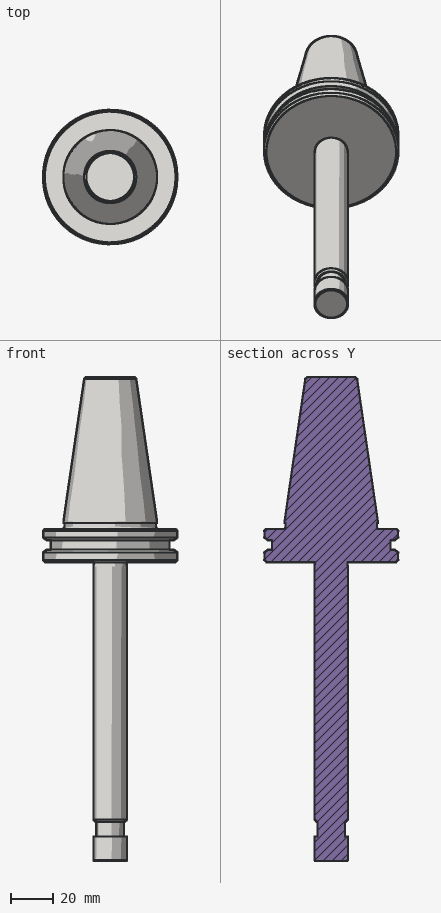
import cadquery as cq

total_height = 228.5
taper_length = 68.3
taper_ratio = 7 / 24
gauge_radius = 22.2
taper_top_chamfer = 1.0
gauge_z = total_height - taper_length
taper_top_radius = gauge_radius - taper_length * taper_ratio / 2

neck_radius = 21.7
gauge_land = 0.7
neck_fillet = 1.0

flange_radius = 31.7
flange_top_z = 156.7
flange_bottom_z = 141.0
flange_top_chamfer = 1.0
flange_bottom_chamfer = 1.1
groove_center_z = 149.1
groove_floor_radius = 28.0
groove_width = 4.3
groove_chamfer_width = 1.8
groove_chamfer_height = 1.4

arbor_radius = 8.0
arbor_root_relief = 0.2
arbor_root_z = 138.9
arbor_end_z = 18.5
arbor_end_chamfer = 1.1
relief_radius = 6.6
collar_height = 11.6
collar_chamfer = 0.5


def add_arbor(outline):
    """Trace the arbor from the bottom axis point up to the flange."""
    root_radius = arbor_radius - arbor_root_relief
    return (
        outline.lineTo(arbor_radius - collar_chamfer, 0)
        .lineTo(arbor_radius, collar_chamfer)
        .lineTo(arbor_radius, collar_height)
        .lineTo(relief_radius, collar_height)
        .lineTo(relief_radius, arbor_end_z)
        .lineTo(arbor_radius - arbor_end_chamfer, arbor_end_z)
        .lineTo(arbor_radius, arbor_end_z + arbor_end_chamfer)
        .lineTo(arbor_radius, arbor_root_z)
        .lineTo(root_radius, flange_bottom_z)
    )


def add_flange(outline):
    """Trace the grooved flange from its underside to its top face."""
    groove_bottom = groove_center_z - groove_width / 2
    groove_top = groove_center_z + groove_width / 2
    lip_radius = flange_radius - groove_chamfer_width
    return (
        outline.lineTo(flange_radius - flange_bottom_chamfer, flange_bottom_z)
        .lineTo(flange_radius, flange_bottom_z + flange_bottom_chamfer)
        .lineTo(flange_radius, groove_bottom - groove_chamfer_height)
        .lineTo(lip_radius, groove_bottom)
        .lineTo(groove_floor_radius, groove_bottom)
        .lineTo(groove_floor_radius, groove_top)
        .lineTo(lip_radius, groove_top)
        .lineTo(flange_radius, groove_top + groove_chamfer_height)
        .lineTo(flange_radius, flange_top_z - flange_top_chamfer)
        .lineTo(flange_radius - flange_top_chamfer, flange_top_z)
        .lineTo(neck_radius + neck_fillet, flange_top_z)
    )


def add_neck_and_taper(outline):
    """Trace the filleted neck and the cone up to the top axis point."""
    neck_top_z = gauge_z - gauge_land
    chamfer_radius = taper_top_radius + taper_top_chamfer * taper_ratio / 2
    return (
        outline.radiusArc((neck_radius, flange_top_z + neck_fillet), neck_fillet)
        .lineTo(neck_radius, neck_top_z)
        .lineTo(gauge_radius, neck_top_z)
        .lineTo(gauge_radius, gauge_z)
        .lineTo(chamfer_radius, total_height - taper_top_chamfer)
        .lineTo(taper_top_radius - taper_top_chamfer, total_height)
        .lineTo(0, total_height)
    )


profile = cq.Workplane("XZ").moveTo(0, 0)
profile = add_arbor(profile)
profile = add_flange(profile)
profile = add_neck_and_taper(profile)
result = profile.close().revolve(360, (0, 0, 0), (0, 1, 0))